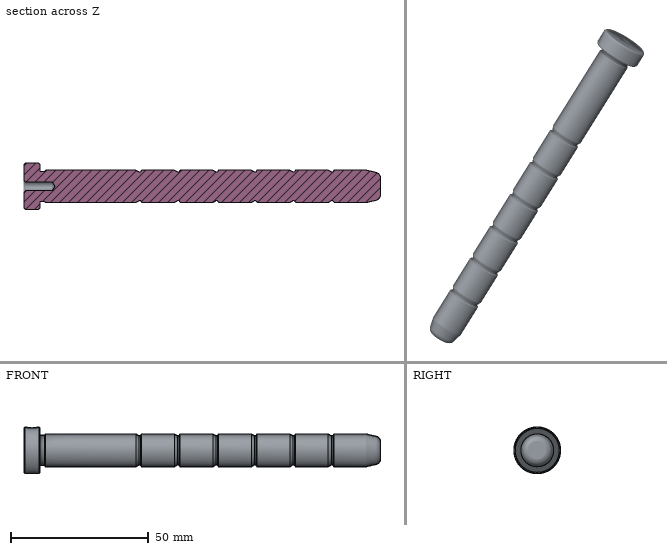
import cadquery as cq
import math

length = 130.0
head_radius = 17.0 / 2
head_length = 6.0
head_chamfer = 0.5
shaft_radius = 12.0 / 2

neck_radius = 5.6
neck_length = 1.5
neck_chamfer = shaft_radius - neck_radius

groove_count = 6
first_groove_start = 40.8
last_groove_start = 110.9
groove_pitch = (last_groove_start - first_groove_start) / (groove_count - 1)
groove_radius = 5.3
groove_entry = 1.2
groove_floor = 0.5
groove_exit = 0.4

taper_start = 124.8
tip_round = 1.8
tip_round_start_radius = 5.2
tip_flat_radius = 3.4

bore_radius = 1.4
bore_mouth_radius = 2.2
mouth_depth = bore_mouth_radius - bore_radius
axial_bore_depth = 10.4
radial_bore_depth = 6.4
drill_point_angle = 118.0
drill_point_length = bore_radius / math.tan(math.radians(drill_point_angle / 2))
radial_bore_x = head_length / 2


def pin_body():
    """Revolve the half outline of the head, neck, shaft and tip about X."""
    neck_end = head_length + neck_length
    round_start = length - tip_round
    return (
        cq.Workplane("XY")
        .lineTo(0, head_radius - head_chamfer)
        .lineTo(head_chamfer, head_radius)
        .lineTo(head_length - head_chamfer, head_radius)
        .lineTo(head_length, head_radius - head_chamfer)
        .lineTo(head_length, neck_radius)
        .lineTo(neck_end, neck_radius)
        .lineTo(neck_end + neck_chamfer, shaft_radius)
        .lineTo(taper_start, shaft_radius)
        .lineTo(round_start, tip_round_start_radius)
        .tangentArcPoint((length, tip_flat_radius), relative=False)
        .lineTo(length, 0)
        .close()
        .revolve(360, (0, 0, 0), (1, 0, 0))
    )


def ring_groove(start):
    """Ring to cut from the shaft, beginning at the given X."""
    floor_start = start + groove_entry
    floor_end = floor_start + groove_floor
    end = floor_end + groove_exit
    return (
        cq.Workplane("XY")
        .moveTo(start, shaft_radius)
        .lineTo(floor_start, groove_radius)
        .lineTo(floor_end, groove_radius)
        .lineTo(end, shaft_radius)
        .lineTo(end, head_radius)
        .lineTo(start, head_radius)
        .close()
        .revolve(360, (0, 0, 0), (1, 0, 0))
    )


def countersunk_bore(depth):
    """Bore running along +Z from the origin, with a conical mouth and drill point."""
    return (
        cq.Workplane("XZ")
        .lineTo(bore_mouth_radius, 0)
        .lineTo(bore_radius, mouth_depth)
        .lineTo(bore_radius, depth)
        .lineTo(0, depth + drill_point_length)
        .close()
        .revolve(360, (0, 0, 0), (0, 1, 0))
    )


def mouth_sleeve():
    """Clearance above the radial mouth, where the head surface curves away."""
    return cq.Workplane("XY").circle(bore_mouth_radius).extrude(-head_chamfer)


result = pin_body()
for index in range(groove_count):
    result = result.cut(ring_groove(first_groove_start + index * groove_pitch))

axial_bore = countersunk_bore(axial_bore_depth).rotate((0, 0, 0), (0, 1, 0), 90)
mouth_height = math.sqrt(head_radius**2 - bore_mouth_radius**2)
radial_bore = (
    countersunk_bore(radial_bore_depth)
    .union(mouth_sleeve())
    .rotate((0, 0, 0), (1, 0, 0), 180)
    .translate((radial_bore_x, 0, mouth_height))
)
result = result.cut(axial_bore).cut(radial_bore)